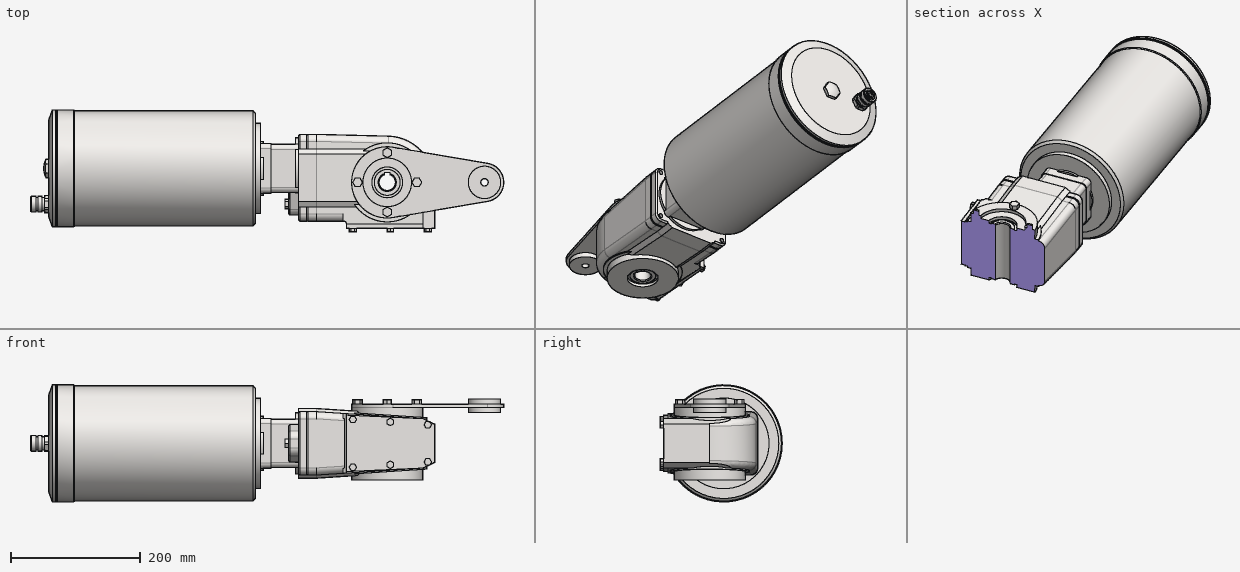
import cadquery as cq
import math


output_y = -21.5

motor_face_x = -522.3
cap_bevel_length = 5.7
cap_length = 40.0
cap_end_chamfer = 1.4
cap_face_diameter = 150.0
cap_diameter = 180.98
motor_diameter = 178.0
motor_end_x = -203.2
motor_end_chamfer = 4.0
cap_groove_count = 2
cap_groove_offset = 14.0
cap_groove_width = 1.4
cap_groove_pitch = 2.4
cap_groove_depth = 0.5
motor_flange_diameter = 140.0
motor_flange_length = 8.0
motor_collar_diameter = 84.0
motor_collar_length = 4.0

plug_across_flats = 25.0
plug_height = 7.9
plug_dome_radius = 30.0
connector_tip_x = -550.0
connector_y = -55.0
connector_across_flats = 25.0
connector_corner_diameter = 27.0
connector_base_length = 6.0
connector_neck_diameter = 21.0
connector_diameter = 24.6
connector_nut_length = 17.2
connector_tip_chamfer = 1.0
connector_groove_offset = 8.3
connector_groove_width = 2.8
connector_socket_diameter = 17.0
connector_core_diameter = 11.6
connector_core_hole_diameter = 6.65
connector_socket_depth = 5.0

neck_width = 75.0
neck_corner_radius = 8.0
neck_step_x = -179.0
neck_root_width = 77.0

box_start_x = -137.2
box_start_chamfer = 2.5
joint_x = -123.2
joint_groove_width = 2.0
joint_groove_depth = 0.5
taper_start_x = -109.0
housing_back_y = 52.7
housing_front_y = -81.6
housing_middle_y = (housing_back_y + housing_front_y) / 2
housing_half_height = 48.9
housing_end_radius = 71.5
housing_end_half_height = 37.0
housing_edge_radius = 11.0
panel_height = 5.0
panel_top_width = 73.0
panel_base_width = 89.6
panel_end_x = -20.0
corner_hole_diameter = 6.65
corner_hole_depth = 6.0
corner_hole_inset = 9.0
pad_thickness = 2.0
pad_diameter = 122.0

spigot_diameter = 95.0
spigot_length = 4.3
lug_start_x = -152.0
lug_half_height = 29.0
lug_tip_half_height = 16.0
lug_chamfer = 2.0
lug_tip_y = -72.0
lug_tip_radius = 13.0
lug_plug_across_flats = 13.0
lug_plug_length = 6.0
lug_plug_y = -55.0

cover_face_y = -92.6
cover_thickness = 6.6
cover_left_x = -63.0
cover_right_x = 73.5
cover_corner_x = 55.0
cover_left_half_height = 43.5
cover_right_half_height = 29.5
cover_box_fillet = 5.0
cover_screw_across_flats = 10.0
cover_screw_height = 5.4
cover_screw_places = [(-53.0, 36.8), (4.7, 33.0), (62.6, 28.7)]
cover_screw_turns = [0, 90, 0]

output_flange_diameter = 110.0
output_top_z = 55.3
output_bottom_z = -56.6
seal_diameter = 47.5
seal_depth = 5.0
shaft_diameter = 40.0
shaft_recess = 3.5
bore_diameter = 25.0
bore_chamfer = 1.5
key_width = 8.0
key_depth = 2.6

arm_thickness = 5.3
arm_reach = 150.0
arm_tip_radius = 29.9
arm_opening_diameter = 75.0
arm_eye_diameter = 50.0
arm_eye_height = 21.0
arm_eye_bore = 11.0
arm_screw_circle_radius = 45.7
arm_screw_across_flats = 13.0
arm_screw_count = 4
arm_screw_height = 7.0

HEX_CORNER_RATIO = 2 / math.sqrt(3)


def rod(diameter, x_start, x_end, y=0.0):
    """Cylinder along X between two stations."""
    return cq.Workplane("YZ", origin=(x_start, y, 0)).circle(diameter / 2).extrude(x_end - x_start)


def disc(diameter, z_start, z_end, x=0.0):
    """Cylinder along Z on the arm's centre line."""
    return cq.Workplane("XY", origin=(x, output_y, z_start)).circle(diameter / 2).extrude(z_end - z_start)


def hex_along_x(across_flats, x_start, x_end, y):
    """Hexagon prism along X with its corners pointing along Y."""
    plane = cq.Workplane("YZ", origin=(x_start, y, 0))
    return plane.polygon(6, across_flats * HEX_CORNER_RATIO).extrude(x_end - x_start)


def make_motor():
    cap_end_x = motor_face_x + cap_length
    flange_end_x = motor_end_x + motor_flange_length
    collar_end_x = flange_end_x + motor_collar_length
    body = rod(motor_diameter, cap_end_x, motor_end_x).faces(">X").chamfer(motor_end_chamfer)
    cap = (
        cq.Workplane("XY")
        .moveTo(motor_face_x, 0)
        .lineTo(motor_face_x, cap_face_diameter / 2)
        .lineTo(motor_face_x + cap_bevel_length, cap_diameter / 2)
        .lineTo(cap_end_x - cap_end_chamfer, cap_diameter / 2)
        .lineTo(cap_end_x, cap_diameter / 2 - cap_end_chamfer)
        .lineTo(cap_end_x, 0)
        .close()
        .revolve(360, (0, 0, 0), (1, 0, 0))
    )
    for index in range(cap_groove_count):
        groove_x = motor_face_x + cap_groove_offset - cap_groove_width - index * cap_groove_pitch
        groove = rod(cap_diameter, groove_x, groove_x + cap_groove_width)
        groove_floor = rod(cap_diameter - 2 * cap_groove_depth, groove_x, groove_x + cap_groove_width)
        cap = cap.cut(groove.cut(groove_floor))
    flange = rod(motor_flange_diameter, motor_end_x, flange_end_x)
    collar = rod(motor_collar_diameter, flange_end_x, collar_end_x)
    return body.union(cap).union(flange).union(collar)


def make_plug():
    """Domed hexagon plug in the middle of the motor end face."""
    tip_x = motor_face_x - plug_height
    dome = cq.Workplane("XY").sphere(plug_dome_radius).translate((tip_x + plug_dome_radius, 0, 0))
    return hex_along_x(plug_across_flats, tip_x, motor_face_x, 0).intersect(dome)


def make_connector():
    """Round cable connector beside the plug, open at its tip."""
    base_x = motor_face_x - connector_base_length
    base = hex_along_x(connector_across_flats, base_x, motor_face_x, connector_y)
    base = base.intersect(rod(connector_corner_diameter, base_x, motor_face_x, connector_y))
    neck = rod(connector_neck_diameter, connector_tip_x, base_x, connector_y)
    nut = rod(connector_diameter, connector_tip_x, connector_tip_x + connector_nut_length, connector_y)
    nut = nut.faces("<X").chamfer(connector_tip_chamfer)
    groove_x = connector_tip_x + connector_groove_offset
    groove = rod(connector_diameter, groove_x, groove_x + connector_groove_width, connector_y)
    socket_end_x = connector_tip_x + connector_socket_depth
    socket = rod(connector_socket_diameter, connector_tip_x, socket_end_x, connector_y)
    core = rod(connector_core_diameter, connector_tip_x, socket_end_x, connector_y)
    core_hole = rod(connector_core_hole_diameter, connector_tip_x, socket_end_x, connector_y)
    neck = neck.cut(socket).union(core.cut(core_hole))
    return base.union(nut.cut(groove).cut(socket)).union(neck)


def neck_piece(width, x_start, x_end):
    """Square length of the neck with rounded corners."""
    return (
        cq.Workplane("YZ", origin=(x_start, 0, 0))
        .rect(width, width)
        .extrude(x_end - x_start)
        .edges("|X")
        .fillet(neck_corner_radius)
    )


def make_neck():
    root = neck_piece(neck_root_width, motor_end_x, neck_step_x)
    return root.union(neck_piece(neck_width, neck_step_x, box_start_x))


def half_height_at(x):
    """Half height of the housing at a station along X."""
    if x <= taper_start_x:
        return housing_half_height
    taper_length = housing_end_radius - taper_start_x
    slope = (housing_half_height - housing_end_half_height) / taper_length
    return housing_half_height - slope * (x - taper_start_x)


def tapered_slab(extra=0.0):
    """Side profile of the housing: level near the motor, then narrowing towards the far end."""
    level = housing_half_height + extra
    end_x = cover_right_x
    end = half_height_at(end_x) + extra
    depth = housing_back_y - cover_face_y
    return (
        cq.Workplane("XZ", origin=(0, housing_back_y, 0))
        .polyline([
            (box_start_x, -level),
            (taper_start_x, -level),
            (end_x, -end),
            (end_x, end),
            (taper_start_x, level),
            (box_start_x, level),
        ])
        .close()
        .extrude(depth)
    )


def make_housing():
    """Level block beside the neck, then a narrowing case rounded about the output axis."""
    block = (
        cq.Workplane("YZ", origin=(box_start_x, housing_middle_y, 0))
        .rect(housing_back_y - housing_front_y, 2 * housing_half_height)
        .extrude(taper_start_x - box_start_x)
        .edges("|X")
        .fillet(housing_edge_radius)
        .faces("<X")
        .chamfer(box_start_chamfer)
    )
    back_rise = housing_back_y - output_y
    tangent_angle = math.atan2(back_rise, taper_start_x)
    tangent_angle -= math.acos(housing_end_radius / math.hypot(back_rise, taper_start_x))
    mid_angle = tangent_angle / 2
    tangent_point = (
        housing_end_radius * math.cos(tangent_angle),
        output_y + housing_end_radius * math.sin(tangent_angle),
    )
    mid_point = (
        housing_end_radius * math.cos(mid_angle),
        output_y + housing_end_radius * math.sin(mid_angle),
    )
    case = (
        cq.Workplane("XY", origin=(0, 0, -housing_half_height))
        .moveTo(taper_start_x, housing_front_y)
        .lineTo(taper_start_x, housing_back_y)
        .lineTo(*tangent_point)
        .threePointArc(mid_point, (housing_end_radius, output_y))
        .lineTo(housing_end_radius, housing_front_y)
        .close()
        .extrude(2 * housing_half_height)
        .intersect(tapered_slab())
        .edges("(not |Y) and (not |Z) and (not >X)")
        .fillet(housing_edge_radius)
    )
    return block.union(case)


def panel_section(x):
    """Cross-section of the raised top and bottom panels at a station along X."""
    base = half_height_at(x)
    top = base + panel_height
    top_half = panel_top_width / 2
    base_half = panel_base_width / 2
    quarter = [(top_half, top), (base_half, base)]
    right_side = quarter + [(y, -z) for y, z in reversed(quarter)]
    left_side = [(-y, -z) for y, z in right_side]
    points = [cq.Vector(x, housing_middle_y + y, z) for y, z in right_side + left_side]
    return cq.Wire.makePolygon(points, close=True)


def make_panel():
    """Raised panels with sloping flanks, running along the housing to the output flange."""
    level = cq.Solid.makeLoft([panel_section(box_start_x), panel_section(taper_start_x)], True)
    tapered = cq.Solid.makeLoft([panel_section(taper_start_x), panel_section(panel_end_x)], True)
    return cq.Workplane(level).union(cq.Workplane(tapered))


def make_joint_groove():
    """Shallow groove across the housing sides where the motor-side flange meets the gear case."""
    width = housing_back_y - housing_front_y
    height = 2 * housing_half_height
    plane = cq.Workplane("YZ", origin=(joint_x - joint_groove_width / 2, housing_middle_y, 0))
    outside = plane.rect(width, height).extrude(joint_groove_width)
    floor_width = width - 2 * joint_groove_depth
    floor_height = height - 2 * joint_groove_depth
    inside = (
        plane.rect(floor_width, floor_height)
        .extrude(joint_groove_width)
        .edges("|X")
        .fillet(housing_edge_radius - joint_groove_depth)
    )
    return outside.cut(inside)


def make_corner_holes():
    """Blind holes in the four corners of the gearbox face turned to the motor."""
    places = [
        (y, side * (housing_half_height - corner_hole_inset))
        for y in (housing_front_y + corner_hole_inset, housing_back_y - corner_hole_inset)
        for side in (-1, 1)
    ]
    return (
        cq.Workplane("YZ", origin=(box_start_x, 0, 0))
        .pushPoints(places)
        .circle(corner_hole_diameter / 2)
        .extrude(corner_hole_depth)
    )


def make_end_corners():
    """Wedges cut from the far end so that the housing follows the slanted corners of the cover."""
    corner = half_height_at(cover_corner_x)
    depth = housing_back_y - cover_face_y
    plane = cq.Workplane("XZ", origin=(0, housing_back_y, 0))
    wedges = cq.Workplane("XY")
    for side in (-1, 1):
        wedge = (
            plane.polyline([
                (cover_corner_x, side * corner),
                (cover_right_x, side * cover_right_half_height),
                (cover_right_x, side * corner),
            ])
            .close()
            .extrude(depth)
        )
        wedges = wedges.add(wedge)
    return wedges.combine()


def make_spigot():
    return rod(spigot_diameter, box_start_x - spigot_length, box_start_x)


def make_lug():
    """Narrowing lug beside the neck, carrying a hexagon plug."""
    lug = (
        cq.Workplane("YZ", origin=(lug_start_x, 0, 0))
        .polyline([
            (0, -lug_half_height),
            (-neck_width / 2, -lug_half_height),
            (lug_tip_y, -lug_tip_half_height),
            (lug_tip_y, lug_tip_half_height),
            (-neck_width / 2, lug_half_height),
            (0, lug_half_height),
        ])
        .close()
        .extrude(box_start_x - lug_start_x)
        .edges("|X and <Y")
        .fillet(lug_tip_radius)
        .faces("<X")
        .edges("<Y")
        .chamfer(lug_chamfer)
    )
    plug = hex_along_x(lug_plug_across_flats, lug_start_x - lug_plug_length, lug_start_x, lug_plug_y)
    return lug.union(plug)


def make_cover_box():
    """Box behind the side cover, flush with the tapered housing, with an inside fillet at its left end."""
    left_x = cover_left_x
    bend = cover_box_fillet
    bend_offset = bend * (1 - math.sqrt(0.5))
    cover_back_y = cover_face_y + cover_thickness
    height = 2 * housing_half_height
    return (
        cq.Workplane("XY", origin=(0, 0, -height / 2))
        .moveTo(left_x - bend, output_y)
        .lineTo(left_x - bend, cover_back_y + bend)
        .threePointArc(
            (left_x - bend_offset, cover_back_y + bend - bend_offset),
            (left_x, cover_back_y),
        )
        .lineTo(cover_right_x, cover_back_y)
        .lineTo(cover_right_x, output_y)
        .close()
        .extrude(height)
        .intersect(tapered_slab())
    )


def make_cover():
    half_outline = [
        (cover_left_x, cover_left_half_height),
        (cover_corner_x, half_height_at(cover_corner_x)),
        (cover_right_x, cover_right_half_height),
    ]
    mirrored = [(x, -z) for x, z in reversed(half_outline)]
    face = cq.Workplane("XZ", origin=(0, cover_face_y, 0))
    cover = face.polyline(half_outline + mirrored).close().extrude(-cover_thickness)
    for (screw_x, screw_z), turn in zip(cover_screw_places, cover_screw_turns):
        for side in (-1, 1):
            screw = (
                cq.Workplane("XZ", origin=(screw_x, cover_face_y, side * screw_z))
                .transformed(rotate=(0, 0, turn))
                .polygon(6, cover_screw_across_flats * HEX_CORNER_RATIO)
                .extrude(cover_screw_height)
            )
            cover = cover.union(screw)
    return cover


def make_output_flange():
    flange = disc(output_flange_diameter, output_bottom_z, output_top_z)
    pad = disc(pad_diameter, output_bottom_z, output_top_z).intersect(tapered_slab(pad_thickness))
    return flange.union(pad)


def make_shaft_opening():
    """Seal recesses at both ends and the keyed bore of the hollow shaft."""
    bore_radius = bore_diameter / 2
    height = output_top_z - output_bottom_z
    opening = disc(bore_diameter, output_bottom_z, output_top_z)
    keyway = (
        cq.Workplane("XY", origin=(0, output_y + (bore_radius + key_depth) / 2, output_bottom_z))
        .rect(key_width, bore_radius + key_depth)
        .extrude(height)
    )
    opening = opening.union(keyway)
    for face_z, inward in ((output_top_z, -1), (output_bottom_z, 1)):
        shaft_end_z = face_z + inward * shaft_recess
        seal = disc(seal_diameter, face_z, face_z + inward * seal_depth)
        shaft = disc(shaft_diameter, shaft_end_z, face_z + inward * seal_depth)
        countersink = (
            cq.Workplane("XY", origin=(0, output_y, shaft_end_z))
            .circle(bore_radius + bore_chamfer)
            .workplane(offset=inward * bore_chamfer)
            .circle(bore_radius)
            .loft()
        )
        opening = opening.union(seal.cut(shaft)).union(countersink)
    return opening


def make_arm():
    """Tapered torque arm: two discs joined along their common tangents."""
    root_radius = output_flange_diameter / 2
    arm_top_z = output_top_z + arm_thickness
    tangent_cos = (root_radius - arm_tip_radius) / arm_reach
    tangent_sin = math.sqrt(1 - tangent_cos**2)
    root_point = (root_radius * tangent_cos, root_radius * tangent_sin)
    tip_point = (arm_reach + arm_tip_radius * tangent_cos, arm_tip_radius * tangent_sin)
    arm = (
        cq.Workplane("XY", origin=(0, output_y, output_top_z))
        .moveTo(*root_point)
        .lineTo(*tip_point)
        .threePointArc((arm_reach + arm_tip_radius, 0), (tip_point[0], -tip_point[1]))
        .lineTo(root_point[0], -root_point[1])
        .threePointArc((-root_radius, 0), root_point)
        .close()
        .extrude(arm_thickness)
    )
    arm = arm.cut(disc(arm_opening_diameter, output_top_z, arm_top_z))
    middle_z = output_top_z + arm_thickness / 2
    eye_bottom_z = middle_z - arm_eye_height / 2
    eye_top_z = middle_z + arm_eye_height / 2
    arm = arm.union(disc(arm_eye_diameter, eye_bottom_z, eye_top_z, arm_reach))
    arm = arm.cut(disc(arm_eye_bore, eye_bottom_z, eye_top_z, arm_reach))
    for index in range(arm_screw_count):
        turn = index * 360 / arm_screw_count
        angle = math.radians(turn)
        screw_x = arm_screw_circle_radius * math.cos(angle)
        screw_y = output_y + arm_screw_circle_radius * math.sin(angle)
        screw = (
            cq.Workplane("XY", origin=(screw_x, screw_y, arm_top_z))
            .transformed(rotate=(0, 0, turn))
            .polygon(6, arm_screw_across_flats * HEX_CORNER_RATIO)
            .extrude(arm_screw_height)
        )
        arm = arm.union(screw)
    return arm


motor = make_motor().union(make_plug()).union(make_connector()).union(make_neck())
gearbox = make_housing().cut(make_joint_groove()).cut(make_corner_holes())
gearbox = gearbox.union(make_cover_box()).cut(make_end_corners())
gearbox = gearbox.union(make_panel()).union(make_spigot()).union(make_lug()).union(make_cover())
gearbox = gearbox.union(make_output_flange()).cut(make_shaft_opening())
result = motor.union(gearbox).union(make_arm())